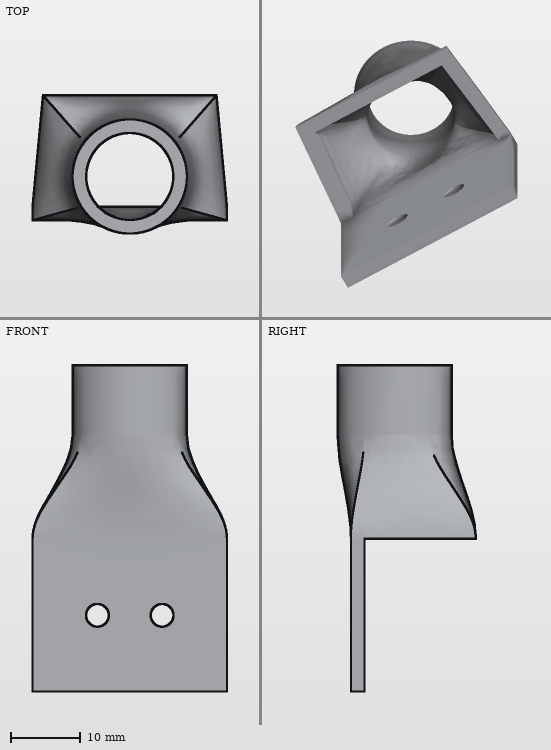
import cadquery as cq
import math

total_height = 47.0
tube_height = 10.0
plate_height = 22.0
wall = 1.97
tube_radius = 8.22
bore_radius = 6.25

front_width = 28.0
back_width = 25.0
hood_depth = 18.0
overall_depth = 19.95

hole_diameter = 3.25
hole_spacing = 9.3

back_corner_angle = 37
plate_back_angle = -25
front_corner_angle = -32
loft_steps = 8

front_y = overall_depth - hood_depth - tube_radius
plate_back_y = front_y + wall
back_y = front_y + hood_depth
hood_top = total_height - tube_height
hood_height = hood_top - plate_height


def mirrored(right_side):
    """Close a right-hand list of (x, y, angle) corners with its mirror image."""
    left_side = [(-x, y, 180 - angle) for x, y, angle in reversed(right_side)]
    return right_side + left_side


def section(corners, radius, blend, z):
    """Wire between a circle (blend = 0) and the corner polygon (blend = 1)."""
    edges = []
    for index, start in enumerate(corners):
        end = corners[(index + 1) % len(corners)]
        end_angle = end[2]
        if end_angle < start[2]:
            end_angle += 360

        def blended_point(fraction):
            angle = math.radians(start[2] + (end_angle - start[2]) * fraction)
            flat_x = start[0] + (end[0] - start[0]) * fraction
            flat_y = start[1] + (end[1] - start[1]) * fraction
            x = radius * math.cos(angle) * (1 - blend) + flat_x * blend
            y = radius * math.sin(angle) * (1 - blend) + flat_y * blend
            return cq.Vector(x, y, z)

        if blend == 1:
            edge = cq.Edge.makeLine(blended_point(0), blended_point(1))
        else:
            edge = cq.Edge.makeThreePointArc(blended_point(0), blended_point(0.5), blended_point(1))
        edges.append(edge)
    return cq.Wire.assembleEdges(edges)


def hood(corners, radius):
    """Loft from the polygon up to the circle, upright at both ends."""
    sections = []
    for step in range(loft_steps + 1):
        rise = step / loft_steps
        blend = 1 - rise**2 * (3 - 2 * rise)
        sections.append(section(corners, radius, blend, plate_height + rise * hood_height))
    return cq.Workplane(obj=cq.Solid.makeLoft(sections))


def tube(radius):
    return cq.Workplane().workplane(offset=hood_top).circle(radius).extrude(tube_height)


outer_corners = mirrored([
    (front_width / 2, front_y, front_corner_angle),
    (front_width / 2, plate_back_y, plate_back_angle),
    (back_width / 2, back_y, back_corner_angle),
])
inner_corners = mirrored([
    (front_width / 2 - wall, plate_back_y, front_corner_angle),
    (back_width / 2 - wall, back_y - wall, back_corner_angle),
])

plate = (
    cq.Workplane()
    .box(front_width, wall, plate_height, centered=(True, False, False))
    .translate((0, front_y, 0))
)
screw_holes = (
    cq.Workplane("XZ", origin=(0, plate_back_y, plate_height / 2))
    .rarray(hole_spacing, 0.45, 2, 1)
    .circle(hole_diameter / 2)
    .extrude(wall)
)

body = tube(tube_radius).union(hood(outer_corners, tube_radius))
body = body.cut(hood(inner_corners, bore_radius)).cut(tube(bore_radius))
result = body.union(plate).cut(screw_holes)